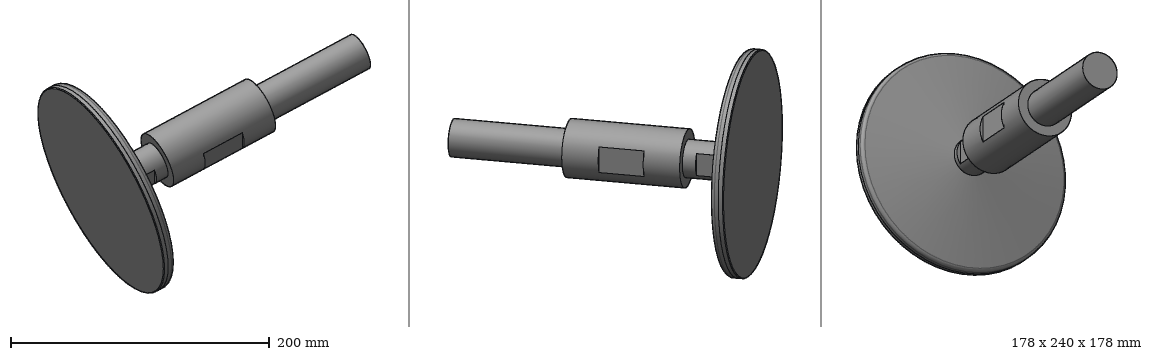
import cadquery as cq
import math

total_length = 240.0

plate_diameter = 178.0
pad_thickness = 4.0
pad_edge_chamfer = 0.7
rim_straight_end = 7.2
rim_corner_radius = 3.0

stem_diameter = 30.0
cone_top = 22.3
stem_flat_start = 27.0
stem_flat_length = 15.0
stem_across_flats = 24.0

sleeve_diameter = 46.0
sleeve_start = 52.5
sleeve_length = 94.3
sleeve_flat_length = 36.0
sleeve_across_flats = 41.0

plate_radius = plate_diameter / 2
stem_radius = stem_diameter / 2
sleeve_radius = sleeve_diameter / 2
sleeve_end = sleeve_start + sleeve_length
sleeve_flat_start = sleeve_start + (sleeve_length - sleeve_flat_length) / 2


def make_pad():
    """Thin round pad with a chamfered ground edge."""
    pad = cq.Workplane("XZ").circle(plate_radius).extrude(-pad_thickness)
    return pad.faces("<Y").edges().chamfer(pad_edge_chamfer)


def make_turned_foot():
    """Plate, cone, stem and sleeve revolved about Y."""
    rim_center_x = plate_radius - rim_corner_radius
    run = rim_center_x - stem_radius
    rise = cone_top - rim_straight_end
    distance = math.hypot(run, rise)
    tangent_angle = math.acos(rim_corner_radius / distance) - math.atan2(run, rise)
    middle_angle = (tangent_angle + math.pi / 2) / 2

    def rim_point(angle):
        """Point on the rim arc, with the angle measured from +Y towards +X."""
        return (
            rim_center_x + rim_corner_radius * math.sin(angle),
            rim_straight_end + rim_corner_radius * math.cos(angle),
        )

    return (
        cq.Workplane("XY")
        .moveTo(0, pad_thickness)
        .lineTo(plate_radius, pad_thickness)
        .lineTo(plate_radius, rim_straight_end)
        .threePointArc(rim_point(middle_angle), rim_point(tangent_angle))
        .lineTo(stem_radius, cone_top)
        .lineTo(stem_radius, sleeve_start)
        .lineTo(sleeve_radius, sleeve_start)
        .lineTo(sleeve_radius, sleeve_end)
        .lineTo(stem_radius, sleeve_end)
        .lineTo(stem_radius, total_length)
        .lineTo(0, total_length)
        .close()
        .revolve(360, (0, 0), (0, 1))
    )


def cut_wrench_flats(body, start, length, across_flats, diameter):
    """Cut two opposite flats, square to X, into a round section."""
    for side in (-1, 1):
        cutter = cq.Workplane("XY").box(diameter, length, diameter)
        cutter_x = side * (across_flats + diameter) / 2
        body = body.cut(cutter.translate((cutter_x, start + length / 2, 0)))
    return body


def make_foot():
    """Turned foot with wrench flats on the stem and the sleeve."""
    foot = make_turned_foot()
    foot = cut_wrench_flats(
        foot, stem_flat_start, stem_flat_length, stem_across_flats, stem_diameter
    )
    return cut_wrench_flats(
        foot, sleeve_flat_start, sleeve_flat_length, sleeve_across_flats, sleeve_diameter
    )


pad = make_pad()
foot = make_foot()
result = cq.Compound.makeCompound([pad.val(), foot.solids().val()])